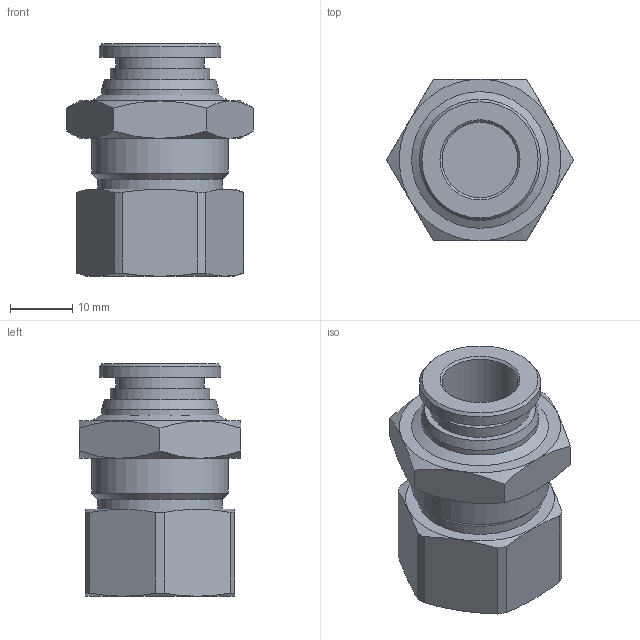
import cadquery as cq
import math

HALF_SECTOR = math.pi / 6

total_height = 37.4

base_across_flats = 24.0
base_corner_diameter = 26.9
base_height = 14.0
base_chamfer_drop = 0.5
base_chamfer_radius = 11.95

body_radius = 11.0
undercut_radius = 10.05
undercut_height = 1.6
flare_height = 1.0

nut_across_flats = 26.0
nut_bottom = 22.2
nut_height = 6.0
nut_top = nut_bottom + nut_height
nut_chamfer_angle = 30.0
nut_chamfer_radius = nut_across_flats / 2
nut_blank_clearance = 0.6

collar_radius = 9.4
collar_top_radius = 8.95
shoulder_top = 29.15
collar_taper_start = 30.1
collar_top = 31.65
guide_radius = 8.0
guide_top = 33.45
neck_radius = 7.1
neck_top = 35.2
lip_radius = 9.75
lip_chamfer_width = 0.4
lip_chamfer_height = 0.5

bore_radius = 6.1
bore_chamfer = 0.35
bore_floor = base_height


def revolved(profile):
    """Solid of revolution about Z from a closed list of (radius, height) points."""
    return cq.Workplane("XZ").polyline(profile).close().revolve(360, (0, 0, 0), (0, 1, 0))


def chamfered_hexagon(across_flats, corner_radius, bottom, height, end_radius, end_drop):
    """Hexagon with corners on X, cut by a turned blank that is chamfered at both ends."""
    top = bottom + height
    corner_diameter = across_flats / math.cos(HALF_SECTOR)
    hexagon = cq.Workplane("XY").workplane(offset=bottom).polygon(6, corner_diameter)
    hexagon = hexagon.extrude(height)
    blank = revolved(
        [
            (0, bottom),
            (end_radius, bottom),
            (corner_radius, bottom + end_drop),
            (corner_radius, top - end_drop),
            (end_radius, top),
            (0, top),
        ]
    )
    return hexagon.intersect(blank)


def lower_hexagon():
    return chamfered_hexagon(
        base_across_flats,
        base_corner_diameter / 2,
        0,
        base_height,
        base_chamfer_radius,
        base_chamfer_drop,
    )


def lock_nut():
    corner_radius = nut_across_flats / 2 / math.cos(HALF_SECTOR)
    blank_radius = corner_radius + nut_blank_clearance
    drop = (blank_radius - nut_chamfer_radius) * math.tan(math.radians(nut_chamfer_angle))
    return chamfered_hexagon(
        nut_across_flats, blank_radius, nut_bottom, nut_height, nut_chamfer_radius, drop
    )


def turned_body():
    """Everything round above the lower hexagon, from the undercut up to the sleeve lip."""
    flare_start = base_height + undercut_height
    profile = [
        (0, base_height),
        (undercut_radius, base_height),
        (undercut_radius, flare_start),
        (body_radius, flare_start + flare_height),
        (body_radius, nut_top),
        (collar_radius, shoulder_top),
        (collar_radius, collar_taper_start),
        (collar_top_radius, collar_top),
        (guide_radius, collar_top),
        (guide_radius, guide_top),
        (neck_radius, guide_top),
        (neck_radius, neck_top),
        (lip_radius, neck_top),
        (lip_radius, total_height - lip_chamfer_height),
        (lip_radius - lip_chamfer_width, total_height),
        (0, total_height),
    ]
    return revolved(profile)


def tube_bore():
    """Blind tube hole with a chamfered mouth."""
    profile = [
        (0, bore_floor),
        (bore_radius, bore_floor),
        (bore_radius, total_height - bore_chamfer),
        (bore_radius + bore_chamfer, total_height),
        (0, total_height),
    ]
    return revolved(profile)


result = lower_hexagon().union(turned_body()).union(lock_nut()).cut(tube_bore())